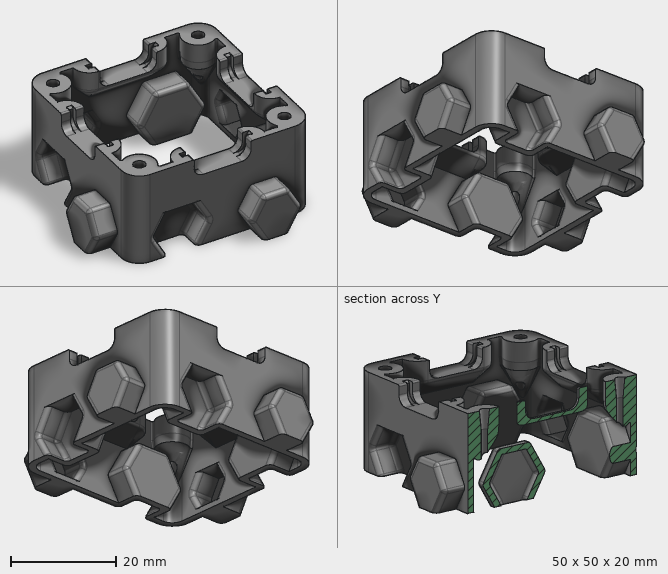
import cadquery as cq
import math

frame_side = 40.0
frame_height = 20.0
wall = 1.5
corner_radius = 4.0
half_side = frame_side / 2
half_inner = half_side - wall
inner_corner_radius = corner_radius - wall
floor_allowance = 5.0

hex_offset = 9.0
hex_height = 5.0
edge_round = 1.0
peg_half_flat = 5.0
peg_length = 5.0
socket_clearance = 0.2
socket_half_flat = peg_half_flat + socket_clearance
socket_depth = peg_length
socket_throat_half_width = 3.25
housing_half_flat = peg_half_flat + wall
housing_depth = peg_length + wall
hollow_half_flat = 3.7
hollow_half_height = 3.85
hollow_depth = peg_length
hex_half_angle = math.radians(30)

rail_overhang = 3.5
rail_round = 1.0
notch_half_width = 6.25
notch_depth = 4.0
notch_floor_radius = 2.0
notch_top_round = 0.33
rail_half_length = notch_half_width + notch_top_round + rail_overhang
groove_width = 1.2
groove_inset = 2.0
groove_depth = 1.0
groove_chamfer = 0.5
rail_floor = frame_height - notch_depth

boss_centre = half_side - corner_radius
boss_radius = 3.5
boss_blend = 0.35
boss_bottom = frame_height - notch_depth
boss_knee = 14.3
boss_knee_scale = 0.97
boss_tip = 6.0
boss_tip_scale = 0.05
boss_backing = 1.2
screw_top_diameter = 2.5
screw_diameter = 1.75
screw_taper_depth = notch_depth


def around(shape):
    """Return the shape repeated on all four sides of the frame."""
    copies = shape
    for turn in range(1, 4):
        copies = copies.union(shape.rotate((0, 0, 0), (0, 0, 1), 90 * turn))
    return copies


def block(x_range, y_range, z_range):
    """Return a box spanning the given ranges."""
    size = [high - low for low, high in (x_range, y_range, z_range)]
    corner = (x_range[0], y_range[0], z_range[0])
    return cq.Workplane("XY").box(*size, centered=False).translate(corner)


def half_width(half_flat, distance):
    """Return the half width of a hexagon at a vertical distance from its centre."""
    return half_flat / math.cos(hex_half_angle) - distance * math.tan(hex_half_angle)


def hex_prism(half_flat, top, bottom, y_front, y_back, throat=0):
    """Return a six-sided prism along Y, centred on X = Z = 0, with flats at top and bottom.

    It is a regular hexagon when top and bottom equal half_flat; otherwise its slanted sides
    run on to those distances. With a throat, the lower sides turn straight down at that half width.
    """
    left_half = [
        (-half_width(half_flat, top), top),
        (-half_width(half_flat, 0), 0),
    ]
    if throat:
        throat_top = (half_width(half_flat, 0) - throat) / math.tan(hex_half_angle)
        left_half += [(-throat, -throat_top), (-throat, -bottom)]
    else:
        left_half += [(-half_width(half_flat, bottom), -bottom)]
    right_half = [(-x, z) for x, z in reversed(left_half)]
    prism = cq.Workplane("XZ").polyline(left_half + right_half).close().extrude(y_back - y_front)
    return prism.translate((0, y_back, 0))


def flared_cutter(prism, depth, top, bottom):
    """Return a cutter shaped like the prism, with a flared mouth at Y = 0.

    The prism starts at Y = 0. The cutter ends in plain flats at the top and bottom distances.
    """
    reach = 3 * top
    plate = block((-reach, reach), (0, depth + wall), (-reach, reach))
    mouth_edges = "not(<X or >X or <Z or >Z)"
    flared = plate.cut(prism).faces("<Y").edges(mouth_edges).fillet(edge_round)
    limits = block((-reach, reach), (0, depth + wall), (-bottom, top))
    return plate.cut(flared).intersect(limits)


def frame_walls():
    outer = cq.Workplane("XY").rect(frame_side, frame_side).extrude(frame_height + floor_allowance)
    inner = cq.Workplane("XY").rect(2 * half_inner, 2 * half_inner).extrude(frame_height + floor_allowance)
    outer = outer.edges("|Z").fillet(corner_radius)
    inner = inner.edges("|Z").fillet(inner_corner_radius)
    return outer.cut(inner).translate((0, 0, -floor_allowance))


def peg():
    body = hex_prism(peg_half_flat, peg_half_flat, peg_half_flat, -half_side - peg_length, -half_inner)
    body = body.edges("|Y and (not <Z)").fillet(edge_round)
    body = body.faces("<Y").edges("not <Z").fillet(edge_round)
    return body.translate((hex_offset, 0, hex_height))


def peg_hollow():
    """Return the cutter that hollows a peg from the inside of its wall."""
    flat = hollow_half_flat
    overrun = hollow_half_height + 2 * edge_round
    prism = hex_prism(flat, overrun, overrun, 0, hollow_depth).edges("|Y").fillet(edge_round)
    cutter = flared_cutter(prism, hollow_depth, hollow_half_height, hollow_half_height)
    return cutter.rotate((0, 0, 0), (0, 0, 1), 180).translate((hex_offset, -half_inner, hex_height))


def socket_housing():
    flat = housing_half_flat
    body = hex_prism(flat, flat, flat, -half_inner - wall / 2, -half_side + housing_depth)
    body = body.edges("|Y").fillet(edge_round)
    body = body.faces(">Y").edges().fillet(edge_round)
    return body.translate((-hex_offset, 0, hex_height))


def socket():
    """Return the cutter for a socket, which is open through the bottom of the frame."""
    flat = socket_half_flat
    top = flat + 2 * edge_round
    bottom = hex_height + floor_allowance
    prism = hex_prism(flat, top, bottom, 0, socket_depth, socket_throat_half_width)
    prism = prism.edges("|Y").fillet(edge_round).faces(">Y").edges().fillet(edge_round)
    cutter = flared_cutter(prism, socket_depth, flat, bottom)
    return cutter.translate((-hex_offset, -half_side, hex_height))


def rail_section(x):
    """Return the cross-section of the -Y rail in the plane at x, with a 45 degree underside."""
    y_wall = -half_inner
    y_edge = y_wall + rail_overhang
    setback = rail_round * math.tan(math.radians(45 / 2))
    slope_setback = setback * math.sqrt(0.5)
    corner_z = rail_floor - setback
    return (
        cq.Workplane("YZ", origin=(x, 0, 0))
        .moveTo(y_wall, frame_height)
        .lineTo(y_edge, frame_height)
        .lineTo(y_edge, rail_floor)
        .radiusArc((y_edge - slope_setback, corner_z - slope_setback), rail_round)
        .lineTo(y_wall, corner_z - rail_overhang)
        .close()
    )


def rail():
    """Return the rail on the -Y wall, with its ends rounded off against the wall."""
    straight_half = rail_half_length - rail_overhang
    bar = rail_section(0).extrude(straight_half, both=True)
    for side in (-1, 1):
        end_section = rail_section(side * straight_half)
        bar = bar.union(end_section.revolve(90, (-half_inner, 0), (-half_inner, -side)))
    return bar


def notch_block(reach, y_range):
    tool = block((-reach, reach), y_range, (rail_floor, frame_height))
    return tool.edges("|Y and <Z").fillet(notch_floor_radius)


def notch():
    """Return the cutter for the opening in a rail, with a groove across each of its ends."""
    y_back = -half_inner + rail_overhang
    opening = notch_block(notch_half_width, (-half_side, y_back))
    groove_start = -half_side + groove_inset
    groove_range = (groove_start, groove_start + groove_width)
    groove_half = notch_half_width + groove_depth
    opening = opening.union(notch_block(groove_half, groove_range))
    chamfer_half = groove_half + groove_chamfer
    flare = [
        (-chamfer_half, frame_height),
        (chamfer_half, frame_height),
        (groove_half, frame_height - groove_chamfer),
        (-groove_half, frame_height - groove_chamfer),
    ]
    mouth = cq.Workplane("XZ").polyline(flare).close().extrude(-groove_width)
    opening = opening.union(mouth.translate((0, groove_start, 0)))
    for side in (-1, 1):
        rounding = (
            cq.Workplane("XZ", origin=(0, -half_side, 0))
            .moveTo(side * notch_half_width, frame_height)
            .lineTo(side * (notch_half_width + notch_top_round), frame_height)
            .radiusArc((side * notch_half_width, frame_height - notch_top_round), -side * notch_top_round)
            .close()
            .extrude(-wall - rail_overhang)
        )
        opening = opening.union(rounding)
    return opening


def boss_outline(scale, z):
    """Return the boss outline at height z, shrunk by scale towards the (-X, -Y) corner.

    It is the round boss and the corner behind it, joined to both walls by small hollow arcs.
    """
    back = inner_corner_radius + boss_backing
    anchor = -back * math.sqrt(0.5)
    blend_x = math.sqrt((boss_radius + boss_blend) ** 2 - (inner_corner_radius - boss_blend) ** 2)
    blend_y = boss_blend - inner_corner_radius
    touch = boss_radius / (boss_radius + boss_blend)
    nose = boss_radius * math.sqrt(0.5)

    def place(x, y):
        return (anchor + (x - anchor) * scale - boss_centre, anchor + (y - anchor) * scale - boss_centre)

    blend = boss_blend * scale
    return (
        cq.Workplane("XY", origin=(0, 0, z))
        .moveTo(*place(0, -back))
        .lineTo(*place(blend_x, -back))
        .lineTo(*place(blend_x, -inner_corner_radius))
        .radiusArc(place(blend_x * touch, blend_y * touch), blend)
        .threePointArc(place(nose, nose), place(blend_y * touch, blend_x * touch))
        .radiusArc(place(-inner_corner_radius, blend_x), blend)
        .lineTo(*place(-back, blend_x))
        .lineTo(*place(-back, 0))
        .threePointArc(place(anchor, anchor), place(0, -back))
        .close()
    )


def boss():
    """Return a corner boss whose underside slopes back into the corner."""
    upright = boss_outline(1, boss_bottom).extrude(frame_height - boss_bottom)
    sections = [(boss_tip_scale, boss_tip), (boss_knee_scale, boss_knee), (1, boss_bottom)]
    support = cq.Solid.makeLoft([boss_outline(scale, z).val() for scale, z in sections], True)
    return upright.union(cq.Workplane(support))


def screw_hole():
    """Return the cutter for a screw hole: a taper at the top, then a plain bore."""
    top = frame_height
    taper_end = frame_height - screw_taper_depth
    section = [
        (0, top),
        (screw_top_diameter / 2, top),
        (screw_diameter / 2, taper_end),
        (screw_diameter / 2, boss_tip),
        (0, boss_tip),
    ]
    hole = cq.Workplane("XZ").polyline(section).close().revolve(360, (0, 0), (0, 1))
    return hole.translate((-boss_centre, -boss_centre, 0))


def trim():
    """Return the space above the bottom face of the frame."""
    reach = half_side + 2 * peg_length
    return block((-reach, reach), (-reach, reach), (0, frame_height))


frame = frame_walls()
frame = frame.union(around(rail())).union(around(boss()))
frame = frame.cut(around(screw_hole()))
frame = frame.union(around(socket_housing())).union(around(peg()))
frame = frame.cut(around(notch()))
frame = frame.cut(around(socket())).cut(around(peg_hollow()))
result = frame.intersect(trim())